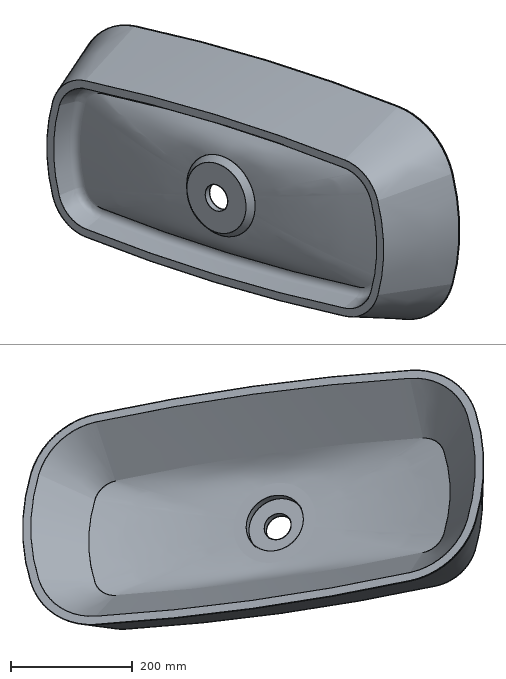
import cadquery as cq
import math

HALF_LENGTH = 799 / 2
HALF_WIDTH = 399.0 / 2
HEIGHT = 140.0
RIM_BAND = 2.0
FOOT_INSET = 49.5

LONG_SIDE_RADIUS = 3516.0
END_RADIUS = 344.5
CORNER_RADIUS = 127.0

FOOT_LAND = 14.0
RECESS_DEPTH = 42.0
RECESS_LEAN = 9.5
TROUGH_RADIUS = 13.0
BOWL_INSET = 86.0

DOME_DEPTH = 15.0
SHELL_THICKNESS = 14.0
RIM_LAND = 14.0
BOSS_BASE_RADIUS = 71.0
BOSS_FACE_RADIUS = 61.5
BOSS_FACE_DEPTH = 3.0
DRAIN_RADIUS = 23.0
DRAIN_SEAT_RADIUS = 49.5
DRAIN_SEAT_THICKNESS = 12.0
DOME_STEPS = 4


def toward(center, target, distance):
    """Point at a distance from center, in the direction of target."""
    angle = math.atan2(target[1] - center[1], target[0] - center[0])
    return (center[0] + distance * math.cos(angle), center[1] + distance * math.sin(angle))


def corner_center():
    """Center of a corner arc tangent to the long side arc and the end arc."""
    side = (0, HALF_WIDTH - LONG_SIDE_RADIUS)
    end = (HALF_LENGTH - END_RADIUS, 0)
    side_reach = LONG_SIDE_RADIUS - CORNER_RADIUS
    end_reach = END_RADIUS - CORNER_RADIUS
    gap = math.dist(side, end)
    along = (side_reach**2 - end_reach**2 + gap**2) / (2 * gap)
    across = math.sqrt(side_reach**2 - along**2)
    foot = toward(side, end, along)
    ux, uz = (end[0] - side[0]) / gap, (end[1] - side[1]) / gap
    return (foot[0] + uz * across, foot[1] - ux * across)


def quarter_points(inset):
    """Long side middle, corner start, corner middle, corner end and end middle."""
    center = corner_center()
    radius = CORNER_RADIUS - inset
    side = (0, HALF_WIDTH - LONG_SIDE_RADIUS)
    end = (HALF_LENGTH - END_RADIUS, 0)
    start = toward(side, center, LONG_SIDE_RADIUS - inset)
    finish = toward(end, center, END_RADIUS - inset)
    chord_middle = ((start[0] + finish[0]) / 2, (start[1] + finish[1]) / 2)
    middle = toward(center, chord_middle, radius)
    return [(0, HALF_WIDTH - inset), start, middle, finish, (HALF_LENGTH - inset, 0)]


def outline_wire(points, y):
    """Closed outline of eight arcs mirrored from one quarter."""
    def at(index, sx, sz):
        return cq.Vector(sx * points[index][0], y, sz * points[index][1])

    def arc(a, b, c):
        return cq.Edge.makeThreePointArc(a, b, c)

    edges = [
        arc(at(1, -1, 1), at(0, 1, 1), at(1, 1, 1)),
        arc(at(1, 1, 1), at(2, 1, 1), at(3, 1, 1)),
        arc(at(3, 1, 1), at(4, 1, 1), at(3, 1, -1)),
        arc(at(3, 1, -1), at(2, 1, -1), at(1, 1, -1)),
        arc(at(1, 1, -1), at(0, 1, -1), at(1, -1, -1)),
        arc(at(1, -1, -1), at(2, -1, -1), at(3, -1, -1)),
        arc(at(3, -1, -1), at(4, -1, 1), at(3, -1, 1)),
        arc(at(3, -1, 1), at(2, -1, 1), at(1, -1, 1)),
    ]
    return cq.Wire.assembleEdges(edges)


def tapered(*sections):
    """Straight-walled solid through (inset, y) sections."""
    wires = [outline_wire(quarter_points(inset), y) for inset, y in sections]
    return cq.Workplane(cq.Solid.makeLoft(wires, True))


def dome(shift):
    """Bowl bottom: its outline blends into the drain circle as it bulges toward the foot."""
    rim_points = quarter_points(BOWL_INSET)
    drain_points = [toward((0, 0), p, BOSS_BASE_RADIUS) for p in rim_points]
    wires = []
    for step in range(DOME_STEPS + 1):
        blend = step / DOME_STEPS
        rise = 1 - (1 - blend)**2
        y = RECESS_DEPTH + shift - (RECESS_DEPTH - DOME_DEPTH) * rise
        points = [
            (p[0] + (q[0] - p[0]) * blend, p[1] + (q[1] - p[1]) * blend)
            for p, q in zip(rim_points, drain_points)
        ]
        wires.append(outline_wire(points, y))
    return cq.Workplane(cq.Solid.makeLoft(wires, False))


def disc(radius, y_start, y_end):
    """Cylinder about the drain axis between two Y positions."""
    direction = cq.Vector(0, 1, 0)
    base = cq.Vector(0, y_start, 0)
    return cq.Workplane(cq.Solid.makeCylinder(radius, y_end - y_start, base, direction))


body = tapered((FOOT_INSET, 0), (0, HEIGHT - RIM_BAND), (0, HEIGHT))

recess_inset = FOOT_INSET + FOOT_LAND
recess = tapered((recess_inset, 0), (recess_inset + RECESS_LEAN, RECESS_DEPTH))
recess = recess.faces(">Y").edges().fillet(TROUGH_RADIUS)
body = body.cut(recess.cut(dome(0)))

boss = cq.Workplane(cq.Solid.makeCone(
    BOSS_FACE_RADIUS, BOSS_BASE_RADIUS, DOME_DEPTH - BOSS_FACE_DEPTH,
    cq.Vector(0, BOSS_FACE_DEPTH, 0), cq.Vector(0, 1, 0)))
body = body.union(boss)

bowl_wall = tapered((BOWL_INSET, RECESS_DEPTH + SHELL_THICKNESS), (RIM_LAND, HEIGHT))
body = body.cut(bowl_wall).cut(dome(SHELL_THICKNESS))

seat_y = BOSS_FACE_DEPTH + DRAIN_SEAT_THICKNESS
body = body.cut(disc(DRAIN_SEAT_RADIUS, seat_y, HEIGHT))
result = body.cut(disc(DRAIN_RADIUS, 0, HEIGHT)).solids()